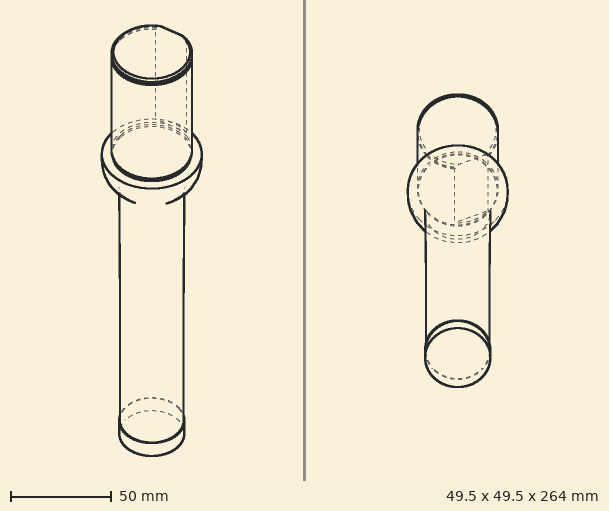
import cadquery as cq

total_length = 264.0

tip_diameter = 32.5
tip_top = 10.0
tip_face = 1.0
nub_diameter = 12.7

body_diameter = 31.7
taper_bottom = 89.8
neck_diameter = 32.5
taper_top = 164.2
neck_top = 169.2

flange_diameter = 49.5
flange_bottom = 189.0
flange_top = 193.8
hollow_share = 0.4

shank_diameter = 40.0
shank_bottom = 196.2
undercut_diameter = 39.0
undercut_shoulder = 195.0
groove_bottom = 260.5
groove_top = 262.0
groove_diameter = 39.5
rim_height = 0.8
top_diameter = 38.0

flat_distance = 18.0
flat_bottom = 198.5


def make_tip():
    """Round tip with a shallow conical end face and a small flat centre."""
    outline = (
        cq.Workplane("XZ")
        .lineTo(nub_diameter / 2, 0)
        .lineTo(tip_diameter / 2, tip_face)
        .lineTo(tip_diameter / 2, tip_top)
        .lineTo(0, tip_top)
        .close()
    )
    return outline.revolve(360, (0, 0, 0), (0, 1, 0))


def make_holder():
    """Turned holder: slim body, tapered neck, bowl-shaped flange and shank."""
    bowl_width = (flange_diameter - neck_diameter) / 2
    bowl_height = flange_bottom - neck_top
    outline = (
        cq.Workplane("XZ")
        .moveTo(0, tip_top)
        .lineTo(body_diameter / 2, tip_top)
        .lineTo(body_diameter / 2, taper_bottom)
        .lineTo(neck_diameter / 2, taper_top)
        .lineTo(neck_diameter / 2, neck_top)
        .tangentArcPoint((hollow_share * bowl_width, hollow_share * bowl_height))
        .tangentArcPoint(((1 - hollow_share) * bowl_width, (1 - hollow_share) * bowl_height))
        .lineTo(flange_diameter / 2, flange_top)
        .lineTo(undercut_diameter / 2, flange_top)
        .lineTo(undercut_diameter / 2, undercut_shoulder)
        .lineTo(shank_diameter / 2, shank_bottom)
        .lineTo(shank_diameter / 2, groove_bottom)
        .lineTo(groove_diameter / 2, groove_bottom)
        .lineTo(groove_diameter / 2, groove_top)
        .lineTo(shank_diameter / 2, groove_top)
        .lineTo(shank_diameter / 2, groove_top + rim_height)
        .lineTo(top_diameter / 2, total_length)
        .lineTo(0, total_length)
        .close()
    )
    return outline.revolve(360, (0, 0, 0), (0, 1, 0))


def make_flat_cutter():
    """Block that removes the +Y side of the shank above the flat's lower end."""
    return cq.Workplane("XY").box(
        shank_diameter, shank_diameter, total_length - flat_bottom, centered=(True, False, False)
    ).translate((0, flat_distance, flat_bottom))


tip = make_tip()
holder = make_holder().cut(make_flat_cutter())

result = cq.Compound.makeCompound([holder.val(), tip.val()])